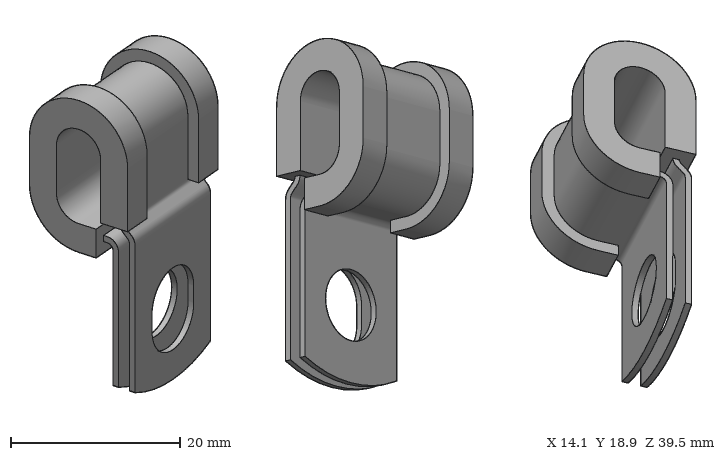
import cadquery as cq
import math


overall_height = 39.5

opening_radius = 3.175
outer_radius = 7.045
side_length = 6.3
long_arm_end_z = -8.45
short_arm_end_x = 2.53
cushion_width = 18.92
groove_width = 10.77
flange_height = 1.54

strap_thickness = 0.81
strap_width = 15.82
leg_gap = 1.56
bend_inner_radius = 0.81
jog_angle = math.radians(45)
tip_radius = 19.1
hole_diameter = 8.7
hole_to_tip = 9.5
slot_travel = 2.3

tip_z = outer_radius - overall_height
lower_bend_z = -side_length
groove_radius = outer_radius - flange_height
strap_loop_radius = groove_radius - strap_thickness / 2
bend_radius = bend_inner_radius + strap_thickness / 2
outer_leg_x = outer_radius - strap_thickness / 2
inner_leg_x = outer_leg_x - strap_thickness - leg_gap
gap_middle_x = (inner_leg_x + outer_leg_x) / 2


def trace_loop(path, radius):
    """Extend a path from the +X side over the top, down the -X side to the bottom."""
    diagonal = radius * math.sqrt(0.5)
    return (
        path.lineTo(radius, 0)
        .threePointArc((0, radius), (-radius, 0))
        .lineTo(-radius, lower_bend_z)
        .threePointArc((-diagonal, lower_bend_z - diagonal), (0, lower_bend_z - radius))
    )


def sweep_strip(path, thickness, width):
    """Sweep a flat strip, centred on Y = 0, along a path that starts vertically."""
    start = path.val().startPoint()
    section = cq.Workplane("XY", origin=start.toTuple()).rect(thickness, width)
    return section.sweep(path)


def loop_band(inner, outer, width):
    """Open loop between two radii, ending at the free ends of the cushion arms."""
    radius = (inner + outer) / 2
    path = trace_loop(cq.Workplane("XZ").moveTo(radius, long_arm_end_z), radius)
    path = path.lineTo(short_arm_end_x, lower_bend_z - radius).wire()
    return sweep_strip(path, outer - inner, width)


def make_cushion():
    """Full-width cushion with a groove between its two flanges."""
    body = loop_band(opening_radius, outer_radius, cushion_width)
    groove = loop_band(groove_radius, outer_radius, groove_width)
    return body.cut(groove)


def make_bent_strap():
    """Strap from the outer leg, through the jog and loop, to the inner leg."""
    bend_shift = bend_radius * (1 - math.cos(jog_angle))
    bend_drop = bend_radius * math.sin(jog_angle)
    half_shift = bend_radius * (1 - math.cos(jog_angle / 2))
    half_drop = bend_radius * math.sin(jog_angle / 2)
    slant_shift = outer_leg_x - strap_loop_radius - 2 * bend_shift
    slant_drop = slant_shift / math.tan(jog_angle)
    jog_bottom_z = long_arm_end_z - 2 * bend_drop - slant_drop

    path = (
        cq.Workplane("XZ")
        .moveTo(outer_leg_x, tip_z)
        .lineTo(outer_leg_x, jog_bottom_z)
        .threePointArc(
            (outer_leg_x - half_shift, jog_bottom_z + half_drop),
            (outer_leg_x - bend_shift, jog_bottom_z + bend_drop),
        )
        .lineTo(strap_loop_radius + bend_shift, long_arm_end_z - bend_drop)
        .threePointArc(
            (strap_loop_radius + half_shift, long_arm_end_z - half_drop),
            (strap_loop_radius, long_arm_end_z),
        )
    )
    path = trace_loop(path, strap_loop_radius)

    arm_z = lower_bend_z - strap_loop_radius
    corner_x = inner_leg_x - bend_radius
    corner_z = arm_z - bend_radius
    diagonal = bend_radius * math.sqrt(0.5)
    path = (
        path.lineTo(corner_x, arm_z)
        .threePointArc((corner_x + diagonal, corner_z + diagonal), (inner_leg_x, corner_z))
        .lineTo(inner_leg_x, tip_z)
        .wire()
    )
    return sweep_strip(path, strap_thickness, strap_width)


def make_strap_outline():
    """Block along X with a rounded bottom edge, wide and tall enough for the strap."""
    half_width = strap_width / 2
    corner_z = tip_z + tip_radius - math.sqrt(tip_radius**2 - half_width**2)
    return (
        cq.Workplane("YZ")
        .moveTo(-half_width, outer_radius)
        .lineTo(-half_width, corner_z)
        .threePointArc((0, tip_z), (half_width, corner_z))
        .lineTo(half_width, outer_radius)
        .close()
        .extrude(outer_radius, both=True)
    )


def make_bolt_hole():
    """Round hole along X through the inner leg."""
    return (
        cq.Workplane("YZ")
        .center(0, tip_z + hole_to_tip)
        .circle(hole_diameter / 2)
        .extrude(gap_middle_x)
    )


def make_bolt_slot():
    """Upright slot along X through the outer leg, as wide as the round hole."""
    return (
        cq.Workplane("YZ", origin=(gap_middle_x, 0, tip_z + hole_to_tip))
        .slot2D(hole_diameter + slot_travel, hole_diameter, 90)
        .extrude(outer_radius - gap_middle_x)
    )


strap = make_bent_strap().intersect(make_strap_outline())
strap = strap.cut(make_bolt_hole()).cut(make_bolt_slot())
result = make_cushion().union(strap)